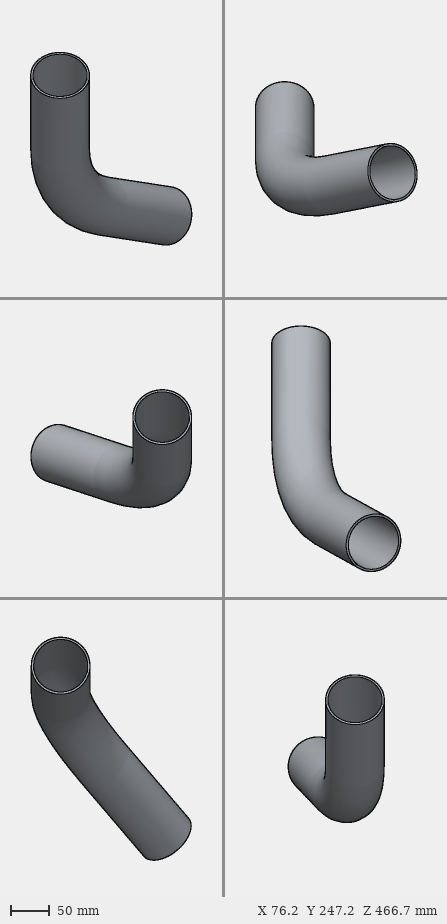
import cadquery as cq
import math

outer_diameter = 76.2
wall_thickness = 3.05
leg_length = 152.4
bend_radius = 254.0
bend_angle = 45.0

inner_diameter = outer_diameter - 2 * wall_thickness


def bend_point(angle):
    """Centreline point (Y, Z) of the bend, turned by angle degrees from vertical."""
    turn = math.radians(angle)
    return (
        bend_radius * (1 - math.cos(turn)),
        -leg_length - bend_radius * math.sin(turn),
    )


def tube_centreline():
    """Path running down from the origin, around the bend toward +Y, then straight."""
    bend_end_y, bend_end_z = bend_point(bend_angle)
    turn = math.radians(bend_angle)
    lower_end = (
        bend_end_y + leg_length * math.sin(turn),
        bend_end_z - leg_length * math.cos(turn),
    )
    return (
        cq.Workplane("YZ")
        .moveTo(0, 0)
        .lineTo(0, -leg_length)
        .threePointArc(bend_point(bend_angle / 2), (bend_end_y, bend_end_z))
        .lineTo(*lower_end)
    )


def bent_tube():
    """Annular section swept along the centreline, open at both ends."""
    section = cq.Workplane("XY").circle(outer_diameter / 2).circle(inner_diameter / 2)
    return section.sweep(tube_centreline())


result = bent_tube()